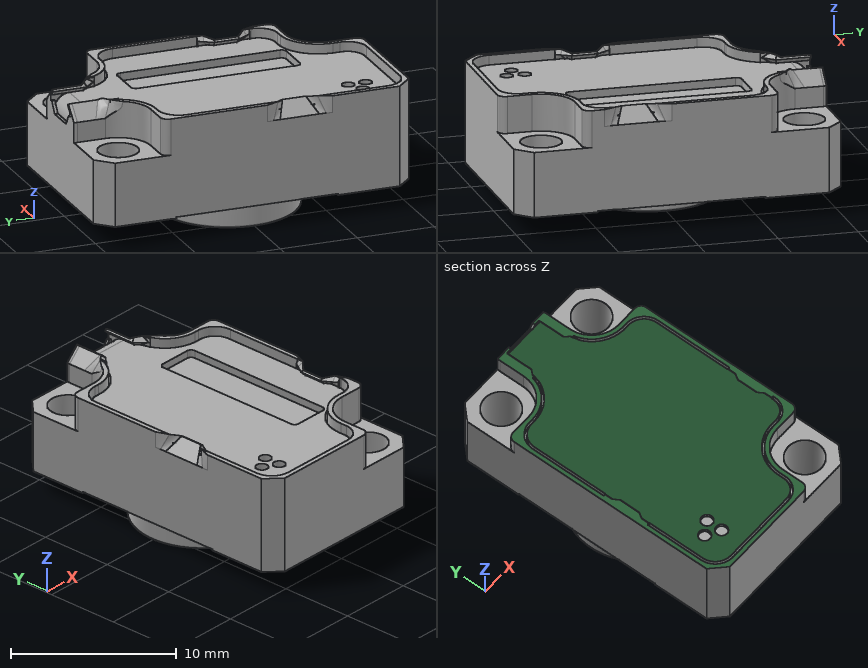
import cadquery as cq
import math


WIDTH = 12.7
LENGTH = 20.5
HEIGHT = 6.45
CORNER_CHAMFER = 1.0
CHANNEL_WIDTH = 10.52
CHANNEL_DEPTH = 0.08
OVERSHOOT = 1.02

HOLE_DIAMETER = 2.55
HOLE_X = 4.35
HOLE_Y = 8.25
PAD_RADIUS = 2.11
PAD_DEPTH = 2.34
PAD_EDGE_X = HOLE_X - PAD_RADIUS
PAD_EDGE_Y = HOLE_Y - PAD_RADIUS
FLARE_RADIUS = 0.5

RIM = 0.33
GAP = 0.15
PLATE_DEPTH = 0.57
PLATE_THICKNESS = 1.0
PLATE_TOP = HEIGHT - PLATE_DEPTH
POCKET_FLOOR = PLATE_TOP - PLATE_THICKNESS
PLATE_X = WIDTH / 2 - RIM - GAP
PLATE_BOTTOM_Y = -LENGTH / 2 + RIM + GAP
PLATE_CORNER_RADIUS = 1.2
PLATE_LOWER_RIGHT_RADIUS = 1.09
PLATE_CONCAVE_RADIUS = PAD_RADIUS + RIM + GAP

CRIMP_EDGE_DEPTH = 0.27
CRIMP_EDGE_Z = HEIGHT - CRIMP_EDGE_DEPTH
CRIMP_OVERHANG = PLATE_DEPTH - CRIMP_EDGE_DEPTH
SCOOP_DEPTH = 1.05

NOTCH_Y = -2.75
NOTCH_LIP_X = 5.33
NOTCH_LIP_HALF = 0.82
NOTCH_LIP_BEND = (5.7, 1.41)
NOTCH_END_HALF = 1.7
NOTCH_CREST_HALF = 0.68
NOTCH_BEND_HALF = 1.3
PLATE_NOTCH_X = NOTCH_LIP_X + CRIMP_OVERHANG
PLATE_NOTCH_INNER_HALF = 0.74
PLATE_NOTCH_OUTER_HALF = 1.13
SCOOP_HALF = 2.11
SCOOP_FLAT_HALF = 0.43
SCOOP_FOOT_HALVES = (1.27, 1.7)

NECK_LIP_X = 1.2
NECK_LIP_START_Y = 8.04
NECK_CRIMP_X = 1.95
NECK_CRIMP_Y = 7.25
NECK_BEND = (1.9, 7.83)
NECK_LIP_BEND = (1.89, 7.34)
NECK_CREST_START_Y = 8.14
NECK_SCOOP_FOOT_Y = 8.85
NECK_SCOOP_CREST_Y = 8.28
NECK_SCOOP_END = (2.52, 7.2)
PLATE_NECK_X = NECK_LIP_X + CRIMP_OVERHANG
PLATE_NECK_START_Y = 8.15
PLATE_NECK_JOIN_Y = 7.85
PLATE_NECK_JOIN_X = HOLE_X - math.sqrt(PLATE_CONCAVE_RADIUS**2 - (HOLE_Y - PLATE_NECK_JOIN_Y) ** 2)
END_LIP = 0.2
END_LIP_TOP = HEIGHT - 0.9
END_SLOT_FLOOR_X = 0.9
END_SLOT_TOP_X = 1.35

WINDOW_WIDTH = 2.8
WINDOW_LENGTH = 10.99
WINDOW_X = 2.0
WINDOW_Y = -0.2
WINDOW_RADIUS = 0.3
WINDOW_DEPTH = 0.51
DIMPLE_DIAMETER = 0.8
DIMPLE_DEPTH = 0.82
DIMPLES = [(-4.49, -7.6), (-3.55, -7.03), (-3.55, -8.15)]

DISC_DIAMETER = 8.95
DISC_X = -1.48
DISC_DROP = 1.41
DISC_EDGE_RADIUS = 0.15


def box(x_min, x_max, y_min, y_max, z_min, z_max):
    """Axis-aligned block between the given limits."""
    size = (x_max - x_min, y_max - y_min, z_max - z_min)
    return cq.Workplane("XY").box(*size, centered=False).translate((x_min, y_min, z_min))


def polar(centre, radius, degrees):
    """Point on a circle at an angle counted from +X."""
    angle = math.radians(degrees)
    return (centre[0] + radius * math.cos(angle), centre[1] + radius * math.sin(angle))


def plate_outline(z, end_y):
    """Plan outline of the label plate at height z, with its neck running to end_y."""
    corner = PLATE_CORNER_RADIUS
    low_right = PLATE_LOWER_RIGHT_RADIUS
    concave = PLATE_CONCAVE_RADIUS
    shoulder_y = HOLE_Y - concave
    corner_x = PLATE_X - corner
    left_hole = (-HOLE_X, HOLE_Y)
    right_hole = (HOLE_X, HOLE_Y)
    lower_hole = (HOLE_X, -HOLE_Y)
    lower_corner_x = HOLE_X - concave - low_right
    low_right_x = PLATE_X - low_right
    base_corner_y = PLATE_BOTTOM_Y + corner

    return (
        cq.Workplane("XY", origin=(0, 0, z))
        .moveTo(-corner_x, PLATE_BOTTOM_Y)
        .lineTo(lower_corner_x, PLATE_BOTTOM_Y)
        .threePointArc(
            polar((lower_corner_x, PLATE_BOTTOM_Y + low_right), low_right, -45),
            (lower_corner_x + low_right, PLATE_BOTTOM_Y + low_right),
        )
        .lineTo(HOLE_X - concave, -HOLE_Y)
        .threePointArc(polar(lower_hole, concave, 135), (HOLE_X, -shoulder_y))
        .lineTo(low_right_x, -shoulder_y)
        .threePointArc(
            polar((low_right_x, -shoulder_y + low_right), low_right, -45),
            (PLATE_X, -shoulder_y + low_right),
        )
        .lineTo(PLATE_X, NOTCH_Y - PLATE_NOTCH_OUTER_HALF)
        .lineTo(PLATE_NOTCH_X, NOTCH_Y - PLATE_NOTCH_INNER_HALF)
        .lineTo(PLATE_NOTCH_X, NOTCH_Y + PLATE_NOTCH_INNER_HALF)
        .lineTo(PLATE_X, NOTCH_Y + PLATE_NOTCH_OUTER_HALF)
        .lineTo(PLATE_X, shoulder_y - corner)
        .threePointArc(
            polar((corner_x, shoulder_y - corner), corner, 45),
            (corner_x, shoulder_y),
        )
        .lineTo(HOLE_X, shoulder_y)
        .threePointArc(polar(right_hole, concave, 225), (PLATE_NECK_JOIN_X, PLATE_NECK_JOIN_Y))
        .lineTo(PLATE_NECK_X, PLATE_NECK_START_Y)
        .lineTo(PLATE_NECK_X, end_y)
        .lineTo(-PLATE_NECK_X, end_y)
        .lineTo(-PLATE_NECK_X, PLATE_NECK_START_Y)
        .lineTo(-PLATE_NECK_JOIN_X, PLATE_NECK_JOIN_Y)
        .threePointArc(polar(left_hole, concave, -45), (-HOLE_X, shoulder_y))
        .lineTo(-corner_x, shoulder_y)
        .threePointArc(
            polar((-corner_x, shoulder_y - corner), corner, 135),
            (-PLATE_X, shoulder_y - corner),
        )
        .lineTo(-PLATE_X, NOTCH_Y + PLATE_NOTCH_OUTER_HALF)
        .lineTo(-PLATE_NOTCH_X, NOTCH_Y + PLATE_NOTCH_INNER_HALF)
        .lineTo(-PLATE_NOTCH_X, NOTCH_Y - PLATE_NOTCH_INNER_HALF)
        .lineTo(-PLATE_X, NOTCH_Y - PLATE_NOTCH_OUTER_HALF)
        .lineTo(-PLATE_X, base_corner_y)
        .threePointArc(
            polar((-corner_x, base_corner_y), corner, 225),
            (-corner_x, PLATE_BOTTOM_Y),
        )
        .close()
    )


def ruled_loft(*sections):
    """Solid with flat or ruled sides through (z, points) sections, from the lowest up."""
    lofts = None
    for (low_z, low_points), (high_z, high_points) in zip(sections, sections[1:]):
        step = (
            cq.Workplane("XY", origin=(0, 0, low_z))
            .polyline(low_points)
            .close()
            .workplane(offset=high_z - low_z)
            .polyline(high_points)
            .close()
            .loft(ruled=True, combine=True)
        )
        lofts = step if lofts is None else lofts.union(step)
    return lofts


def about_notch(points):
    """Points given as (x, distance from the notch centre), placed on both sides of it."""
    upper = [(x, NOTCH_Y + distance) for x, distance in points]
    lower = [(x, NOTCH_Y - distance) for x, distance in reversed(points)]
    return upper + lower


def crimped_notch():
    """Pocket space above the plate at the +X notch, narrowest at the edge of the crimped lip."""
    rim_x = PLATE_X + GAP
    inner_end = (NOTCH_LIP_X - OVERSHOOT, NOTCH_END_HALF)
    plate_end = [(PLATE_X, NOTCH_END_HALF), inner_end]
    rim_end = [(rim_x, NOTCH_END_HALF), inner_end]
    plate_edge = [(PLATE_NOTCH_X, PLATE_NOTCH_INNER_HALF), (PLATE_X, PLATE_NOTCH_OUTER_HALF)]
    lip_edge = [(NOTCH_LIP_X, NOTCH_LIP_HALF), NOTCH_LIP_BEND]
    crest = [(NOTCH_LIP_X + CRIMP_EDGE_DEPTH, NOTCH_CREST_HALF), (rim_x, NOTCH_BEND_HALF)]
    return ruled_loft(
        (PLATE_TOP, about_notch(plate_edge + plate_end)),
        (CRIMP_EDGE_Z, about_notch(lip_edge + plate_end)),
        (HEIGHT, about_notch(crest + rim_end)),
    )


def crimped_neck(far_y):
    """Pocket space above the plate on the +X half of the neck, narrowest at the lip edge."""
    middle = [(NECK_CRIMP_X, NECK_CRIMP_Y), (0, NECK_CRIMP_Y), (0, far_y)]
    crest_x = NECK_LIP_X + CRIMP_EDGE_DEPTH
    plate_edge = [
        (PLATE_NECK_X, far_y),
        (PLATE_NECK_X, PLATE_NECK_START_Y),
        (PLATE_NECK_JOIN_X, PLATE_NECK_JOIN_Y),
    ]
    lip_edge = [(NECK_LIP_X, far_y), (NECK_LIP_X, NECK_LIP_START_Y), NECK_LIP_BEND]
    crest = [(crest_x, far_y), (crest_x, NECK_CREST_START_Y), NECK_BEND]
    return ruled_loft(
        (PLATE_TOP, plate_edge + middle),
        (CRIMP_EDGE_Z, lip_edge + middle),
        (HEIGHT, crest + middle),
    )


def plate_pocket():
    """Tool for the pocket: upright walls with a gap, but crimped lips at the notches and neck."""
    far_y = LENGTH / 2 + OVERSHOOT
    pocket = plate_outline(POCKET_FLOOR, far_y).offset2D(GAP).extrude(HEIGHT - POCKET_FLOOR)
    pocket = pocket.cut(box(
        -NECK_CRIMP_X, NECK_CRIMP_X, NECK_CRIMP_Y, far_y + OVERSHOOT, POCKET_FLOOR, HEIGHT,
    ))
    notch_zone = box(
        NOTCH_LIP_X - OVERSHOOT, WIDTH / 2,
        NOTCH_Y - NOTCH_END_HALF, NOTCH_Y + NOTCH_END_HALF,
        POCKET_FLOOR, HEIGHT,
    )
    pocket = pocket.cut(notch_zone).cut(notch_zone.mirror("YZ"))
    for crimped in (crimped_notch(), crimped_neck(far_y)):
        pocket = pocket.union(crimped).union(crimped.mirror("YZ"))

    seat = plate_outline(POCKET_FLOOR, far_y).extrude(PLATE_THICKNESS)
    end_lip = box(-WIDTH, WIDTH, LENGTH / 2 - END_LIP, LENGTH, POCKET_FLOOR, PLATE_TOP)
    return pocket.union(seat).cut(end_lip)


def pad(flare_start_y):
    """Tool for the lowered pad at the (+X, +Y) corner, flaring from flare_start_y on."""
    bottom = HEIGHT - PAD_DEPTH
    flare_x = WIDTH / 2 - FLARE_RADIUS
    side_flare = (flare_x, PAD_EDGE_Y - FLARE_RADIUS)
    end_flare = (PAD_EDGE_X - FLARE_RADIUS, flare_start_y)
    far_y = flare_start_y + FLARE_RADIUS
    return (
        cq.Workplane("XY", origin=(0, 0, bottom))
        .moveTo(WIDTH / 2, PAD_EDGE_Y - FLARE_RADIUS)
        .threePointArc(polar(side_flare, FLARE_RADIUS, 45), (flare_x, PAD_EDGE_Y))
        .lineTo(HOLE_X, PAD_EDGE_Y)
        .threePointArc(polar((HOLE_X, HOLE_Y), PAD_RADIUS, 225), (PAD_EDGE_X, HOLE_Y))
        .lineTo(PAD_EDGE_X, flare_start_y)
        .threePointArc(
            polar(end_flare, FLARE_RADIUS, 45), (PAD_EDGE_X - FLARE_RADIUS, far_y)
        )
        .lineTo(WIDTH / 2, far_y)
        .close()
        .extrude(PAD_DEPTH)
    )


def side_scoop():
    """Sloped scoop outside the notch in the +X side."""
    side = WIDTH / 2
    end = [(side, SCOOP_HALF), (side + OVERSHOOT, SCOOP_HALF)]
    foot = [(side, half) for half in (SCOOP_FLAT_HALF, *SCOOP_FOOT_HALVES)] + end
    crest_x = side - SCOOP_DEPTH
    crest = [
        (crest_x, SCOOP_FLAT_HALF), (crest_x, NOTCH_CREST_HALF), (PLATE_X + GAP, NOTCH_BEND_HALF),
    ] + end
    return ruled_loft((HEIGHT - SCOOP_DEPTH, about_notch(foot)), (HEIGHT, about_notch(crest)))


def neck_scoop():
    """Sloped scoop outside the rim on the +X side of the neck."""
    end_y = LENGTH / 2
    flare_y = end_y - END_LIP
    flare = FLARE_RADIUS - math.sqrt(FLARE_RADIUS**2 - END_LIP**2)
    crest_x = PAD_EDGE_X - SCOOP_DEPTH
    outer_x = PAD_EDGE_X + 2 * RIM
    outer = [NECK_SCOOP_END, (outer_x, NECK_SCOOP_END[1]), (outer_x, end_y)]
    foot = [
        (PAD_EDGE_X - flare, end_y),
        (PAD_EDGE_X, flare_y),
        (PAD_EDGE_X, NECK_SCOOP_FOOT_Y),
        (PAD_EDGE_X, HOLE_Y),
    ]
    crest = [
        (crest_x - flare, end_y), (crest_x, flare_y), (crest_x, NECK_SCOOP_CREST_Y), NECK_BEND,
    ]
    return ruled_loft((HEIGHT - SCOOP_DEPTH, foot + outer), (HEIGHT, crest + outer))


def end_slot():
    """Tool for the slot with sloped sides through the lip at the +Y end."""
    start_y = LENGTH / 2 - END_LIP
    return (
        cq.Workplane("XZ", origin=(0, start_y, 0))
        .polyline([
            (-END_SLOT_FLOOR_X, POCKET_FLOOR), (END_SLOT_FLOOR_X, POCKET_FLOOR),
            (END_SLOT_TOP_X, END_LIP_TOP), (PLATE_NECK_X, END_LIP_TOP),
            (PLATE_NECK_X, PLATE_TOP), (-PLATE_NECK_X, PLATE_TOP),
            (-PLATE_NECK_X, END_LIP_TOP), (-END_SLOT_TOP_X, END_LIP_TOP),
        ])
        .close()
        .extrude(-END_LIP)
    )


def make_housing():
    """Block with the channel, plate pocket, pads, screw holes, scoops and end slot cut out."""
    body = box(-WIDTH / 2, WIDTH / 2, -LENGTH / 2, LENGTH / 2, 0, HEIGHT)
    body = body.edges("|Z").chamfer(CORNER_CHAMFER)
    body = body.cut(box(
        -WIDTH / 2, WIDTH / 2, -CHANNEL_WIDTH / 2, CHANNEL_WIDTH / 2, 0, CHANNEL_DEPTH,
    ))
    body = body.cut(plate_pocket())

    neck_pad = pad(LENGTH / 2 - END_LIP)
    body = body.cut(neck_pad).cut(neck_pad.mirror("YZ"))
    body = body.cut(pad(LENGTH / 2 - FLARE_RADIUS).mirror("XZ"))
    holes = (
        cq.Workplane("XY")
        .pushPoints([(-HOLE_X, HOLE_Y), (HOLE_X, HOLE_Y), (HOLE_X, -HOLE_Y)])
        .circle(HOLE_DIAMETER / 2)
        .extrude(HEIGHT)
    )
    body = body.cut(holes)

    for scoop in (side_scoop(), neck_scoop()):
        body = body.cut(scoop).cut(scoop.mirror("YZ"))
    return body.cut(end_slot())


def make_label_plate():
    """Plate that fills the pocket, with a rounded neck end, a window recess and dimples."""
    end_y = LENGTH / 2 - END_LIP
    plate = plate_outline(POCKET_FLOOR, end_y).extrude(PLATE_THICKNESS)

    radius = PLATE_THICKNESS
    corner = box(-WIDTH, WIDTH, end_y - radius, end_y, POCKET_FLOOR, PLATE_TOP)
    round_bar = (
        cq.Workplane("YZ", origin=(-WIDTH, end_y - radius, POCKET_FLOOR))
        .circle(radius)
        .extrude(2 * WIDTH)
    )
    plate = plate.cut(corner.cut(round_bar))

    window = (
        cq.Workplane("XY", origin=(WINDOW_X, WINDOW_Y, PLATE_TOP - WINDOW_DEPTH))
        .rect(WINDOW_WIDTH, WINDOW_LENGTH)
        .extrude(WINDOW_DEPTH)
        .edges("|Z")
        .fillet(WINDOW_RADIUS)
    )
    dimples = (
        cq.Workplane("XY", origin=(0, 0, PLATE_TOP))
        .pushPoints(DIMPLES)
        .circle(DIMPLE_DIAMETER / 2)
        .extrude(-DIMPLE_DEPTH)
    )
    return plate.cut(window).cut(dimples)


def make_sensor_disc():
    """Disc seated against the ceiling of the channel, with a rounded lower edge."""
    disc = (
        cq.Workplane("XY", origin=(DISC_X, 0, CHANNEL_DEPTH))
        .circle(DISC_DIAMETER / 2)
        .extrude(-CHANNEL_DEPTH - DISC_DROP)
    )
    return disc.faces("<Z").edges().fillet(DISC_EDGE_RADIUS)


housing = make_housing()
label_plate = make_label_plate()
sensor_disc = make_sensor_disc()

result = cq.Compound.makeCompound([housing.val(), label_plate.val(), sensor_disc.val()])